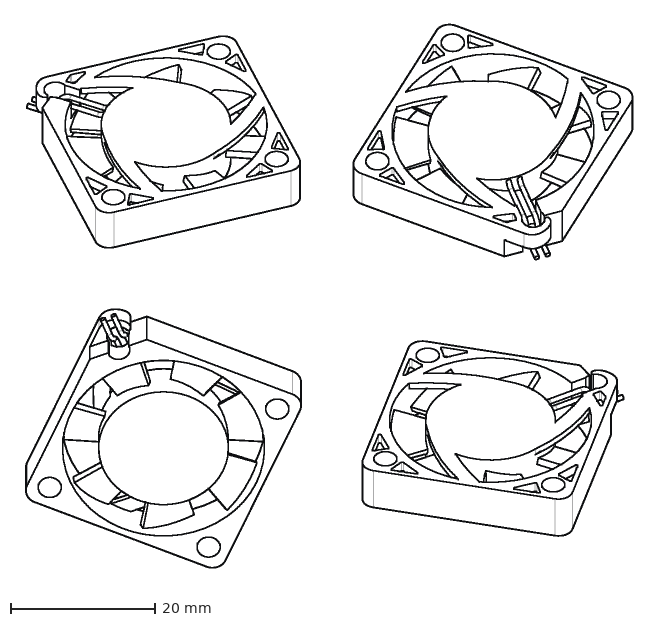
import math

import cadquery as cq

FRAME_SIZE = 30.0
FRAME_HEIGHT = 6.5
HALF = FRAME_SIZE / 2
CORNER_RADIUS = 2.0
BORE_RADIUS = 14.0
HOLE_OFFSET = 12.0
HOLE_RADIUS = 1.6

POCKET_DEPTH = 1.5
POCKET_FILLET = 0.2
POCKET_POINTS = [(-14.25, 10.75), (-14.25, 6.45), (-12.05, 9.6)]
CABLE_POCKET_POINTS = [(-14.25, -9.0), (-14.25, -6.45), (-12.37, -9.15), (-13.2, -10.05)]

HUB_RADIUS = 9.0
STRUT_COUNT = 3
STRUT_THICKNESS = 1.0
STRUT_ANCHOR = 14.5
STRUT_INNER_ROOT = (-2.0, 13.95)
STRUT_INNER_MID = (0.62, 11.35)
STRUT_INNER_END = (2.91, 8.48)
STRUT_OUTER_END = (8.72, 2.0)
STRUT_OUTER_MID = (5.5, 8.9)
STRUT_OUTER_ROOT = (1.1, 13.95)

BLADE_COUNT = 7
BLADE_START_ANGLE = 12.3
BLADE_THICKNESS = 1.0
BLADE_TIP_RADIUS = 13.85
BLADE_ROOT_PLANE = 8.0
BLADE_TIP_PLANE = 14.0
BLADE_MID_HEIGHT = 3.4
BLADE_ROOT_PITCH = 14.0
BLADE_TIP_PITCH = 25.0
BLADE_ROOT_SPAN = 32.5
BLADE_TIP_SPAN = 29.5
BLADE_SWEEP_ANGLE = 0.7

EXIT_ANGLE = 225.0
CHAMFER_LEG = 6.0
HOOK_BOTTOM = 3.5
HOOK_OUTLINE = [(-14.24, -13.84), (-12.4, -14.6), (-11.45, -14.45), (-10.98, -13.95), (-11.45, -13.43)]
SLOT_WIDTH = 2.8
LOWER_HOLE_WIDTH = 3.05

WIRE_RADIUS = 0.35
WIRE_SPACING = 1.6
WIRE_START = 8.6
WIRE_START_SLOPE = 0.8
WIRE_RUN_START = 10.0
WIRE_RUN_END = 15.0
WIRE_EXIT_START = 18.4
WIRE_END = 20.84
WIRE_EXIT_HEIGHT = 2.69
WIRE_RUN_HEIGHT = 5.2
WIRE_HUB_HEIGHT = 6.1


def cylinder(radius, bottom, top, x=0.0, y=0.0):
    return cq.Workplane("XY", origin=(x, y, bottom)).circle(radius).extrude(top - bottom)


def prism(points, bottom, top):
    return cq.Workplane("XY", origin=(0, 0, bottom)).polyline(points).close().extrude(top - bottom)


def exit_slot(start, end, width, bottom, top):
    """Straight cut running along the cable exit diagonal, between two radii."""
    slot = cq.Workplane("XY").box(end - start, width, top - bottom, centered=(False, True, False))
    return slot.translate((start, 0, bottom)).rotate((0, 0, 0), (0, 0, 1), EXIT_ANGLE)


def make_frame():
    frame = cq.Workplane("XY").rect(FRAME_SIZE, FRAME_SIZE).extrude(FRAME_HEIGHT)
    frame = frame.edges("|Z and (>X or >Y)").fillet(CORNER_RADIUS)
    chamfer = [(-HALF, -HALF), (-HALF, -HALF + CHAMFER_LEG), (-HALF + CHAMFER_LEG, -HALF)]
    frame = frame.cut(prism(chamfer, 0, FRAME_HEIGHT))
    frame = frame.union(make_hook())
    frame = frame.cut(cylinder(BORE_RADIUS, 0, FRAME_HEIGHT))
    for x_side, y_side in ((-1, 1), (1, 1), (1, -1)):
        hole = cylinder(HOLE_RADIUS, 0, FRAME_HEIGHT, x_side * HOLE_OFFSET, y_side * HOLE_OFFSET)
        frame = frame.cut(hole)
    return frame


def make_hook():
    """Strap that wraps round the outside of the cable hole, above the chamfered corner."""
    return (
        cq.Workplane("XY", origin=(0, 0, HOOK_BOTTOM))
        .moveTo(-HALF, -HALF + CHAMFER_LEG)
        .lineTo(-HALF, -HOLE_OFFSET)
        .spline(HOOK_OUTLINE, tangents=[(0, -1), (-1, 0)], includeCurrent=True)
        .lineTo(-HOLE_OFFSET, -HOLE_OFFSET)
        .close()
        .extrude(FRAME_HEIGHT - HOOK_BOTTOM)
    )


def cut_cable_exit(frame):
    """Corner hole, flat-sided below the hook, and the open wire slot joining it to the bore."""
    frame = frame.cut(cylinder(HOLE_RADIUS, HOOK_BOTTOM, FRAME_HEIGHT, -HOLE_OFFSET, -HOLE_OFFSET))
    lower_hole = cylinder(HOLE_RADIUS, 0, HOOK_BOTTOM, -HOLE_OFFSET, -HOLE_OFFSET)
    lower_sides = exit_slot(BORE_RADIUS, FRAME_SIZE, LOWER_HOLE_WIDTH, 0, HOOK_BOTTOM)
    frame = frame.cut(lower_hole.intersect(lower_sides))
    slot_end = HOLE_OFFSET * math.sqrt(2)
    return frame.cut(exit_slot(HUB_RADIUS, slot_end, SLOT_WIDTH, HOOK_BOTTOM, FRAME_HEIGHT))


def make_pocket(points):
    pocket = prism(points, FRAME_HEIGHT - POCKET_DEPTH, FRAME_HEIGHT)
    return pocket.edges("|Z").fillet(POCKET_FILLET)


def cut_pockets(frame):
    beside = make_pocket(POCKET_POINTS)
    above = make_pocket([(-y, -x) for x, y in POCKET_POINTS])
    for angle in (0, -90, -180):
        for pocket in (beside, above):
            frame = frame.cut(pocket.rotate((0, 0, 0), (0, 0, 1), angle))
    return frame.cut(make_pocket(CABLE_POCKET_POINTS))


def make_strut():
    return (
        cq.Workplane("XY", origin=(0, 0, FRAME_HEIGHT - STRUT_THICKNESS))
        .moveTo(*STRUT_INNER_ROOT)
        .threePointArc(STRUT_INNER_MID, STRUT_INNER_END)
        .lineTo(0, 0)
        .lineTo(*STRUT_OUTER_END)
        .threePointArc(STRUT_OUTER_MID, STRUT_OUTER_ROOT)
        .lineTo(STRUT_OUTER_ROOT[0], STRUT_ANCHOR)
        .lineTo(STRUT_INNER_ROOT[0], STRUT_ANCHOR)
        .close()
        .extrude(STRUT_THICKNESS)
    )


def blade_section(plane_radius, span_angle, pitch, sweep_angle):
    """Corners (Y, Z) of the tilted blade section on a plane square to the blade's radius."""
    slope = math.radians(pitch)
    half_width = plane_radius * math.tan(math.radians(span_angle / 2))
    half_length = half_width / math.cos(slope)
    half_thickness = BLADE_THICKNESS / 2
    shift = plane_radius * math.tan(math.radians(sweep_angle))
    corners = []
    for along, across in ((-1, -1), (1, -1), (1, 1), (-1, 1)):
        along_chord = along * half_length
        off_chord = across * half_thickness
        y = shift + along_chord * math.cos(slope) + off_chord * math.sin(slope)
        z = BLADE_MID_HEIGHT - along_chord * math.sin(slope) + off_chord * math.cos(slope)
        corners.append((y, z))
    return corners


def make_blade():
    blade = (
        cq.Workplane("YZ", origin=(BLADE_ROOT_PLANE, 0, 0))
        .polyline(blade_section(BLADE_ROOT_PLANE, BLADE_ROOT_SPAN, BLADE_ROOT_PITCH, 0))
        .close()
        .workplane(offset=BLADE_TIP_PLANE - BLADE_ROOT_PLANE)
        .polyline(blade_section(BLADE_TIP_PLANE, BLADE_TIP_SPAN, BLADE_TIP_PITCH, BLADE_SWEEP_ANGLE))
        .close()
        .loft(ruled=True)
    )
    return blade.intersect(cylinder(BLADE_TIP_RADIUS, 0, FRAME_HEIGHT))


def make_wire(side_offset):
    """Wire leaving the hub, dropping through the cable hole and out under the hook."""
    path = (
        cq.Workplane("XZ")
        .moveTo(WIRE_START, WIRE_HUB_HEIGHT)
        .spline(
            [(WIRE_RUN_START, WIRE_RUN_HEIGHT)],
            tangents=[(1, -WIRE_START_SLOPE), (1, 0)],
            includeCurrent=True,
        )
        .lineTo(WIRE_RUN_END, WIRE_RUN_HEIGHT)
        .spline([(WIRE_EXIT_START, WIRE_EXIT_HEIGHT)], tangents=[(1, 0), (1, 0)], includeCurrent=True)
        .lineTo(WIRE_END, WIRE_EXIT_HEIGHT)
    )
    start_plane = cq.Plane(
        origin=(WIRE_START, 0, WIRE_HUB_HEIGHT), xDir=(0, 1, 0), normal=(1, 0, -WIRE_START_SLOPE)
    )
    wire = cq.Workplane(start_plane).circle(WIRE_RADIUS).sweep(path)
    return wire.translate((0, side_offset, 0)).rotate((0, 0, 0), (0, 0, 1), EXIT_ANGLE)


result = cut_pockets(cut_cable_exit(make_frame()))
result = result.union(cylinder(HUB_RADIUS, 0, FRAME_HEIGHT))
for index in range(STRUT_COUNT):
    result = result.union(make_strut().rotate((0, 0, 0), (0, 0, 1), index * 360 / STRUT_COUNT))
for index in range(BLADE_COUNT):
    angle = BLADE_START_ANGLE + index * 360 / BLADE_COUNT
    result = result.union(make_blade().rotate((0, 0, 0), (0, 0, 1), angle))
for side in (-1, 1):
    result = result.union(make_wire(side * WIRE_SPACING / 2))